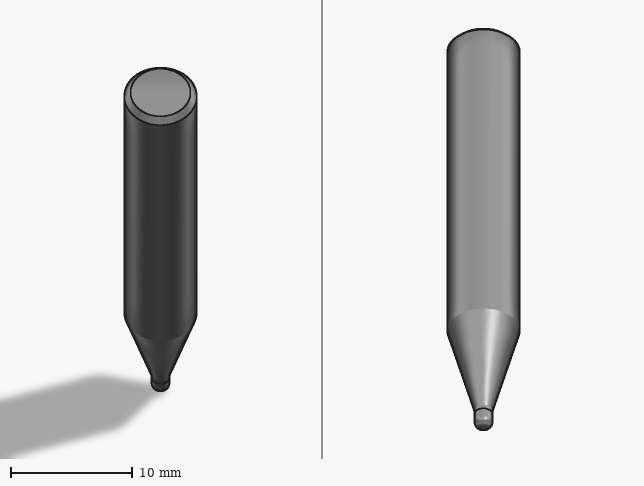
import cadquery as cq
import math

total_length = 40.0
shank_radius = 3.0
shank_chamfer = 0.5

ball_radius = 0.75
tip_length = 2 * ball_radius

neck_radius = ball_radius
neck_length = 0.35
taper_top = 10.25
taper_bottom = tip_length + neck_length


def make_tip():
    """Cylinder with a hemispherical lower end, resting on Z = 0."""
    arc_offset = ball_radius * math.sqrt(0.5)
    profile = (
        cq.Workplane("XZ")
        .moveTo(0, 0)
        .threePointArc((arc_offset, ball_radius - arc_offset), (ball_radius, ball_radius))
        .lineTo(ball_radius, tip_length)
        .lineTo(0, tip_length)
        .close()
    )
    return profile.revolve(360, (0, 0, 0), (0, 1, 0))


def make_shank():
    """Neck, taper and chamfered shank revolved about the tool axis."""
    profile = (
        cq.Workplane("XZ")
        .moveTo(0, tip_length)
        .lineTo(neck_radius, tip_length)
        .lineTo(neck_radius, taper_bottom)
        .lineTo(shank_radius, taper_top)
        .lineTo(shank_radius, total_length - shank_chamfer)
        .lineTo(shank_radius - shank_chamfer, total_length)
        .lineTo(0, total_length)
        .close()
    )
    return profile.revolve(360, (0, 0, 0), (0, 1, 0))


tip = make_tip()
shank = make_shank()
result = cq.Compound.makeCompound([tip.val(), shank.val()])